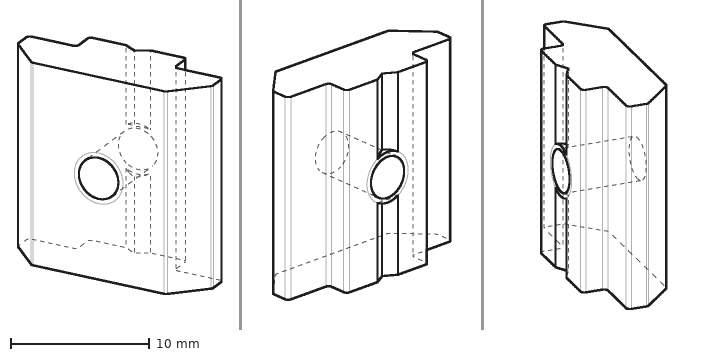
import cadquery as cq
import math

length = 16.0
flange_width = 16.0
total_depth = 6.0
stem_width = 8.0
stem_depth = 1.9
bevel_leg = 2.5
edge_radius = 0.3
hole_diameter = 3.24
sleeve_diameter = 4.0
groove_width = 2.0
groove_angle = 120.0

front_y = -total_depth / 2
back_y = total_depth / 2
shoulder_y = back_y - stem_depth
bottom_z = -length / 2


def extrude_section(points):
    """Closed XY outline extruded over the full length along Z."""
    section = cq.Workplane("XY", origin=(0, 0, bottom_z)).polyline(points).close()
    return section.extrude(length)


def round_bar(diameter):
    """Cylinder along Y through the full depth, on the screw axis."""
    front_plane = cq.Workplane("XZ", origin=(0, front_y, 0))
    return front_plane.circle(diameter / 2).extrude(-total_depth)


def slot_nut_body():
    """T-shaped bar with a bevelled flange and all lengthwise edges rounded."""
    half_flange = flange_width / 2
    half_stem = stem_width / 2
    half_front = half_flange - bevel_leg
    right_half = [
        (half_front, front_y),
        (half_flange, front_y + bevel_leg),
        (half_flange, shoulder_y),
        (half_stem, shoulder_y),
        (half_stem, back_y),
    ]
    left_half = [(-x, y) for x, y in reversed(right_half)]
    return extrude_section(right_half + left_half).edges("|Z").fillet(edge_radius)


def v_groove():
    """Triangular cutter running along the middle of the stem's back face."""
    half_width = groove_width / 2
    groove_depth = half_width / math.tan(math.radians(groove_angle / 2))
    return extrude_section([
        (-half_width, back_y),
        (0, back_y - groove_depth),
        (half_width, back_y),
    ])


def screw_sleeve():
    """Ring around the screw hole; it interrupts the groove at the back."""
    return round_bar(sleeve_diameter).cut(round_bar(hole_diameter))


grooved_body = slot_nut_body().cut(v_groove())
bored_body = grooved_body.cut(round_bar(sleeve_diameter))
result = bored_body.union(screw_sleeve(), clean=False)